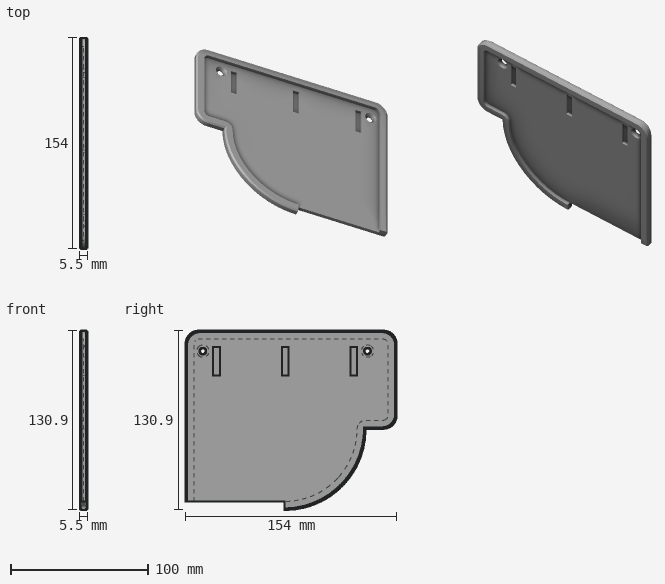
import cadquery as cq
import math

thickness = 5.5
length = 154.0
height = 130.9
corner_radius = 10.0
edge_chamfer = 1.1

arc_radius = 59.3
arc_center_y = -5.0

rim_width = 6.2
recess_depth = 2.8
plate_bottom = rim_width

hole_diameter = 4.5
countersink_diameter = 9.0
countersink_angle = 90.0
hole_z = 116.0
hole_ys = (55.7, -64.4)

slot_width = 5.0
slot_height = 20.8
slot_depth = 2.3
slot_top = 119.0
slot_pitch = 50.0
middle_slot_y = -4.3

half_length = length / 2
rim_plane = cq.Workplane("YZ")
recess_plane = cq.Workplane("YZ", origin=(recess_depth, 0, 0))


def closed_outline():
    """Plate outline with its lower edge carried straight on to z = 0."""
    diagonal = arc_radius * math.sqrt(0.5)
    arc_middle = (arc_center_y + diagonal, arc_radius - diagonal)
    return (
        rim_plane
        .moveTo(-half_length, 0)
        .lineTo(-half_length, height - corner_radius)
        .radiusArc((-half_length + corner_radius, height), corner_radius)
        .lineTo(half_length - corner_radius, height)
        .radiusArc((half_length, height - corner_radius), corner_radius)
        .lineTo(half_length, arc_radius + corner_radius)
        .radiusArc((half_length - corner_radius, arc_radius), corner_radius)
        .lineTo(arc_center_y + arc_radius, arc_radius)
        .threePointArc(arc_middle, (arc_center_y, 0))
        .close()
    )


def box_between(y_min, y_max, z_min, z_max, x_min, x_max):
    return (
        cq.Workplane("XY")
        .box(x_max - x_min, y_max - y_min, z_max - z_min, centered=False)
        .translate((x_min, y_min, z_min))
    )


plate = closed_outline().extrude(thickness).faces("<X or >X").chamfer(edge_chamfer)
plate = plate.cut(box_between(-half_length, arc_center_y, 0, plate_bottom, 0, thickness))

recess = closed_outline().offset2D(-rim_width).extrude(recess_depth)
opening = box_between(-half_length + rim_width, arc_center_y, 0, arc_radius, 0, recess_depth)
plate = plate.cut(recess).cut(opening)

plate = plate.cut(
    recess_plane.pushPoints([(y, hole_z) for y in hole_ys])
    .circle(hole_diameter / 2).extrude(thickness)
)
countersink_depth = (
    (countersink_diameter - hole_diameter) / 2 / math.tan(math.radians(countersink_angle / 2))
)
for y in hole_ys:
    cone = cq.Solid.makeCone(
        countersink_diameter / 2, hole_diameter / 2, countersink_depth,
        cq.Vector(recess_depth, y, hole_z), cq.Vector(1, 0, 0),
    )
    plate = plate.cut(cq.Workplane(cone))

slot_centers = [
    (middle_slot_y + step * slot_pitch, slot_top - slot_height / 2) for step in (-1, 0, 1)
]
slots = recess_plane.pushPoints(slot_centers).rect(slot_width, slot_height).extrude(slot_depth)

result = plate.cut(slots)